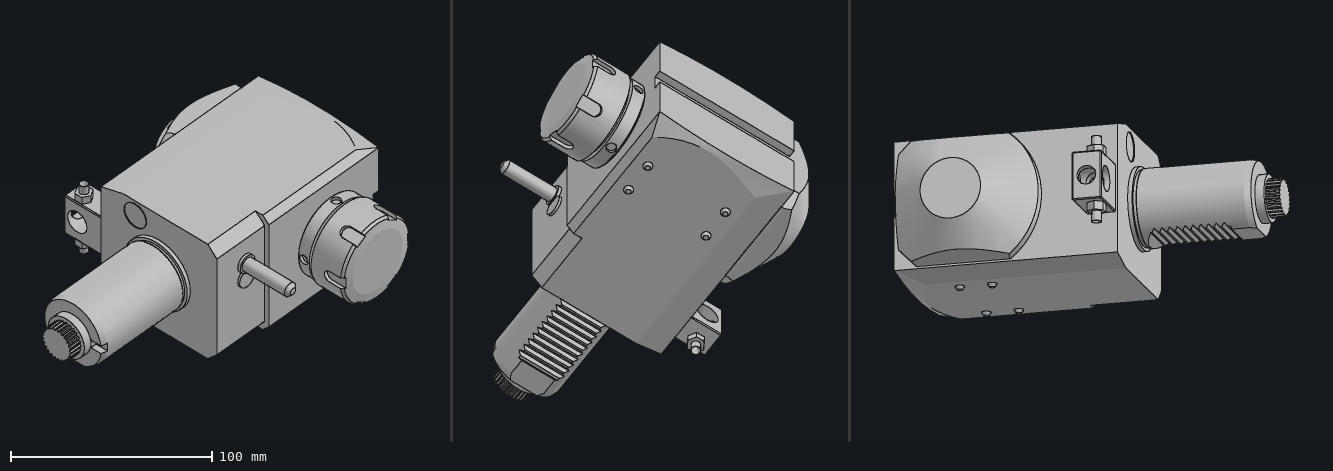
import cadquery as cq
import math



half_height = 37.5
housing_left = -39.3
housing_right = 42.0
housing_back = 115.7
side_slope = math.radians(15)
slope_run = 15.0
slope_start = housing_left + slope_run
slope_drop = slope_run * math.tan(side_slope)
right_chamfer = 4.0
step_depth = 35.0
step_right = 39.2
step_chamfer = 6.1
back_slot_width = 10.3
back_slot_depth = 4.0

bevel_left_y = 103.5
bevel_right_y = 103.1
bevel_crest = [(-6.7, 109.8), (10.9, 112.5), (25.5, 109.8)]
bevel_back_mid_drop = 0.8

spindle_y = 79.8

cap_radius = 40.5
cap_nose_radius = 15.7
cap_cone_start = -45.0
cap_nose = -62.5
cap_half_height = 32.3
cap_flat_end = -41.5
cap_back = 111.7
cap_corner = 7.6

spigot_radius = 23.0
collar_radius = 23.9
collar_start = 42.8
collar_end = 50.0
neck_radius = 20.5
nut_radius = 25.0
nut_start = 52.3
nut_shoulder = 72.0
nut_rim_radius = 23.9
nut_rim = 73.5
nut_face_radius = 18.3
nut_end = 74.5
nut_slot_count = 6
nut_slot_width = 6.9
nut_slot_start = 61.3
nut_slot_depth = 2.3
spanner_hole_count = 4
spanner_hole_radius = 2.7
spanner_hole_depth = 2.0

ring_radius = 21.2
ring_length = 2.3
groove_radius = 19.5
groove_end = 4.0
shank_radius = 20.0
shank_taper_start = 60.0
shank_end = 63.2
shank_end_radius = 19.1
hub_radius = 12.2
hub_end = 68.0
spline_end = 75.3
spline_radius = 10.0
spline_root_radius = 9.0
spline_teeth = 24
spline_tip_turn = 0.15
spline_root_turn = 0.35
flat_height = -17.4
rack_height = -16.2
rack_run_out = 9.2
rack_end = 50.6
rack_pitch = 4.0
rack_first_groove = 11.5
rack_grooves = 10
rack_groove_depth = 1.5
key_half_width = 2.5
key_depth = 3.8
key_pocket_half_width = 1.7
key_pocket_right = 14.9
key_pocket_depth = 5.7

block_left = -65.1
block_front = 1.0
block_back = 16.0
block_half_height = 12.5
port_x = -56.2
port_radius = 6.5
block_chamfer = 0.5
inlet_y = 8.5
inlet_radius = 4.8
inlet_end = -44.9
feed_radius = 1.7
feed_end = -40.1
fitting_y = 6.0
fitting_nut_corners = 9.5
fitting_nut_top = 16.8
fitting_radius = 2.5
fitting_mouth_radius = 2.3
fitting_mouth_depth = 4.5
fitting_top = 22.0

pin_y = 20.6
pin_z = 16.0
pin_radius = 4.0
pin_end = 71.6
pin_chamfer = 2.1
pin_base_radius = 5.3
pin_base_length = 1.7
plug_z = 6.5
plug_length = 1.3

recess_x = -16.2
recess_z = 27.7
recess_radius = 7.5
recess_depth = 0.5
stud_center_x = 6.7
stud_spacing_x = 47.0
stud_spacing_y = 16.8
stud_radius = 2.5
stud_tip_radius = 1.3
stud_height = 1.7

overlap = 1.0


def revolve_x(profile, center_y):
    """Turn (x, radius) points about the line parallel to X at center_y."""
    points = [(x, center_y + radius) for x, radius in profile]
    points = [(profile[0][0], center_y)] + points + [(profile[-1][0], center_y)]
    return cq.Workplane("XY").polyline(points).close().revolve(360, (0, center_y, 0), (1, center_y, 0))


def box_between(low, high):
    """Box given by two opposite corners."""
    size = [b - a for a, b in zip(low, high)]
    return cq.Workplane("XY").box(*size, centered=False).translate(low)


def housing_section(right, chamfer, start, end):
    """Prism along Y: shallow slopes on the left, 45 degree chamfers on the right."""
    upper = [
        (housing_left, half_height - slope_drop),
        (slope_start, half_height),
        (right - chamfer, half_height),
        (right, half_height - chamfer),
    ]
    lower = [(x, -z) for x, z in reversed(upper)]
    section = cq.Workplane("XZ", origin=(0, start, 0)).polyline(upper + lower).close()
    return section.extrude(start - end)


def back_bevel():
    """Wedge between a bowed line on the back face and a curve on the top face."""
    top_left = cq.Vector(slope_start, bevel_left_y, half_height)
    top_right = cq.Vector(housing_right - right_chamfer, bevel_right_y, half_height)
    edge_left = cq.Vector(slope_start, housing_back, half_height)
    edge_right = cq.Vector(housing_right - right_chamfer, housing_back, half_height)
    low_left = cq.Vector(housing_left, housing_back, half_height - slope_drop)
    low_right = cq.Vector(housing_right, housing_back, half_height - right_chamfer)
    middle = cq.Vector((housing_left + housing_right) / 2, housing_back, half_height - bevel_back_mid_drop)

    crest = [cq.Vector(x, y, half_height) for x, y in bevel_crest]
    top_curve = cq.Edge.makeSpline([top_left] + crest + [top_right])
    back_curve = cq.Edge.makeThreePointArc(low_left, middle, low_right)

    def line(start, end):
        return cq.Edge.makeLine(start, end)

    left_fall = line(edge_left, low_left)
    right_fall = line(edge_right, low_right)
    back_line = line(edge_left, edge_right)
    left_run = line(top_left, edge_left)
    right_run = line(top_right, edge_right)
    outlines = [
        [top_curve, left_run, back_line, right_run],
        [back_curve, left_fall, back_line, right_fall],
        [left_run, left_fall, line(top_left, low_left)],
        [right_run, right_fall, line(top_right, low_right)],
    ]
    faces = [cq.Face.makeFromWires(cq.Wire.assembleEdges(edges)) for edges in outlines]
    faces.append(cq.Face.makeRuledSurface(top_curve, back_curve))
    return cq.Workplane(cq.Solid.makeSolid(cq.Shell.makeShell(faces)))


def housing():
    body = housing_section(step_right, step_chamfer, 0, step_depth)
    body = body.union(housing_section(housing_right, right_chamfer, step_depth, housing_back))
    bevel = back_bevel()
    body = body.cut(bevel).cut(bevel.mirror("XY"))
    slot = box_between(
        (housing_left, housing_back - back_slot_depth, -back_slot_width / 2),
        (housing_right, housing_back, back_slot_width / 2),
    )
    recess = cq.Workplane("XZ").center(recess_x, recess_z).circle(recess_radius).extrude(-recess_depth)
    return body.cut(slot).cut(recess)


def end_cap():
    """Cone on the left side, trimmed flat at the back and sloped above and below."""
    inner = housing_left + overlap
    cone = revolve_x(
        [(cap_nose, cap_nose_radius), (cap_cone_start, cap_radius), (inner, cap_radius)],
        spindle_y,
    )
    nose_half_height = cap_half_height - (cap_flat_end - cap_nose) * math.tan(side_slope)
    upper = [(cap_nose, nose_half_height), (cap_flat_end, cap_half_height), (inner, cap_half_height)]
    lower = [(x, -z) for x, z in reversed(upper)]
    front = spindle_y - cap_radius
    side_trim = (
        cq.Workplane("XZ", origin=(0, front, 0)).polyline(upper + lower).close().extrude(front - cap_back)
    )
    plan_trim = (
        box_between((cap_nose, front, -cap_half_height), (inner, cap_back, cap_half_height))
        .edges(">Y and |X")
        .chamfer(cap_corner)
    )
    return cone.intersect(side_trim).intersect(plan_trim)


def collet_nut():
    """Spindle collar and slotted clamping nut on the right side."""
    spindle = revolve_x(
        [
            (housing_right - overlap, spigot_radius),
            (collar_start, spigot_radius),
            (collar_start, collar_radius),
            (collar_end, collar_radius),
            (collar_end, neck_radius),
            (nut_start, neck_radius),
            (nut_start, nut_radius),
            (nut_shoulder, nut_radius),
            (nut_rim, nut_rim_radius),
            (nut_end, nut_face_radius),
        ],
        spindle_y,
    )
    axis = ((0, spindle_y, 0), (1, spindle_y, 0))
    slot_length = nut_end - nut_slot_start
    slot_floor = spindle_y - nut_radius + nut_slot_depth
    slot = (
        cq.Workplane("XZ", origin=(0, slot_floor, 0))
        .center(nut_end, 0)
        .slot2D(2 * slot_length, nut_slot_width)
        .extrude(2 * nut_slot_depth)
    )
    for i in range(nut_slot_count):
        spindle = spindle.cut(slot.rotate(*axis, i * 360 / nut_slot_count))
    hole_floor = spindle_y - collar_radius + spanner_hole_depth
    hole = (
        cq.Workplane("XZ", origin=(0, hole_floor, 0))
        .center((collar_start + collar_end) / 2, 0)
        .circle(spanner_hole_radius)
        .extrude(2 * spanner_hole_depth)
    )
    for i in range(spanner_hole_count):
        spindle = spindle.cut(hole.rotate(*axis, i * 360 / spanner_hole_count))
    return spindle


def shank_blank():
    """Turned shank with sealing ring, end taper and drive hub."""
    profile = [
        (0, -overlap),
        (ring_radius, -overlap),
        (ring_radius, ring_length),
        (groove_radius, ring_length),
        (groove_radius, groove_end),
        (shank_radius, groove_end),
        (shank_radius, shank_taper_start),
        (shank_end_radius, shank_end),
        (hub_radius, shank_end),
        (hub_radius, hub_end),
        (0, hub_end),
    ]
    points = [(radius, -distance) for radius, distance in profile]
    return cq.Workplane("XY").polyline(points).close().revolve(360, (0, 0, 0), (0, 1, 0))


def spline():
    """Drive spline with tapered teeth."""
    pitch = 2 * math.pi / spline_teeth
    points = []
    for i in range(spline_teeth):
        for radius, turn in (
            (spline_root_radius, -spline_root_turn),
            (spline_radius, -spline_tip_turn),
            (spline_radius, spline_tip_turn),
            (spline_root_radius, spline_root_turn),
        ):
            angle = (i + turn) * pitch
            points.append((radius * math.cos(angle), radius * math.sin(angle)))
    start = hub_end - overlap
    return cq.Workplane("XZ", origin=(0, -start, 0)).polyline(points).close().extrude(spline_end - start)


def rack_cut():
    """Flats under the shank and the row of V grooves between them."""
    below = -shank_radius - overlap
    run_out_start = rack_run_out + below - rack_height
    outline = [(-run_out_start, below), (-rack_run_out, rack_height)]
    for i in range(rack_grooves):
        center = rack_first_groove + i * rack_pitch
        outline += [
            (-center + rack_groove_depth, rack_height),
            (-center, rack_height + rack_groove_depth),
            (-center - rack_groove_depth, rack_height),
        ]
    outline += [
        (-rack_end, rack_height),
        (-rack_end, flat_height),
        (-shank_end, flat_height),
        (-shank_end, below),
    ]
    return cq.Workplane("YZ").polyline(outline).close().extrude(shank_radius, both=True)


def shank():
    body = shank_blank().cut(rack_cut())
    key = box_between(
        (hub_radius, -shank_end, -key_half_width),
        (shank_radius, key_depth - shank_end, key_half_width),
    )
    pocket = box_between(
        (hub_radius, -shank_end, -key_pocket_half_width),
        (key_pocket_right, key_pocket_depth - shank_end, key_pocket_half_width),
    )
    return body.cut(key).cut(pocket).union(spline())


def coolant_block():
    """Block with a through port, a crossing inlet and a hollow-ended fitting above and below."""
    block = box_between(
        (block_left, block_front, -block_half_height),
        (housing_left + overlap, block_back, block_half_height),
    )
    block = block.edges("<X or |X").chamfer(block_chamfer)
    fitting_nut = cq.Workplane("XY", origin=(port_x, fitting_y, 0)).polygon(6, fitting_nut_corners)
    fitting_stem = cq.Workplane("XY", origin=(port_x, fitting_y, 0)).circle(fitting_radius)
    block = block.union(fitting_nut.extrude(fitting_nut_top, both=True))
    block = block.union(fitting_stem.extrude(fitting_top, both=True))
    mouth = cq.Workplane(
        cq.Solid.makeCone(
            fitting_mouth_radius,
            0,
            fitting_mouth_depth,
            pnt=cq.Vector(port_x, fitting_y, fitting_top),
            dir=cq.Vector(0, 0, -1),
        )
    )
    block = block.cut(mouth).cut(mouth.mirror("XY"))
    port = cq.Workplane("XZ", origin=(port_x, block_front, 0)).circle(port_radius)
    port = port.extrude(block_front - block_back)
    inlet = cq.Workplane("YZ", origin=(block_left, inlet_y, 0)).circle(inlet_radius)
    inlet = inlet.extrude(inlet_end - block_left)
    feed = cq.Workplane("YZ", origin=(inlet_end, inlet_y, 0)).circle(feed_radius)
    feed = feed.extrude(feed_end - inlet_end)
    return block.cut(port).cut(inlet).cut(feed)


def locating_pin():
    base_end = step_right + pin_base_length
    start = step_right - overlap
    pin = revolve_x(
        [
            (start, pin_base_radius),
            (base_end, pin_base_radius),
            (base_end, pin_radius),
            (pin_end - pin_chamfer, pin_radius),
            (pin_end, pin_radius - pin_chamfer),
        ],
        pin_y,
    )
    return pin.translate((0, 0, pin_z))


def plug():
    """Low round plug below the locating pin."""
    start = step_right - overlap
    face = cq.Workplane("YZ", origin=(start, pin_y, plug_z)).circle(pin_base_radius)
    return face.extrude(overlap + plug_length)


def studs():
    """Four small tapered studs under the spindle."""
    stud_taper = math.degrees(math.atan((stud_radius - stud_tip_radius) / stud_height))
    return (
        cq.Workplane("XY", origin=(stud_center_x, spindle_y, -half_height))
        .rarray(stud_spacing_x, stud_spacing_y, 2, 2)
        .circle(stud_radius)
        .extrude(-stud_height, taper=stud_taper)
    )


result = housing()
for piece in (end_cap(), collet_nut(), shank(), coolant_block(), locating_pin(), plug(), studs()):
    result = result.union(piece)